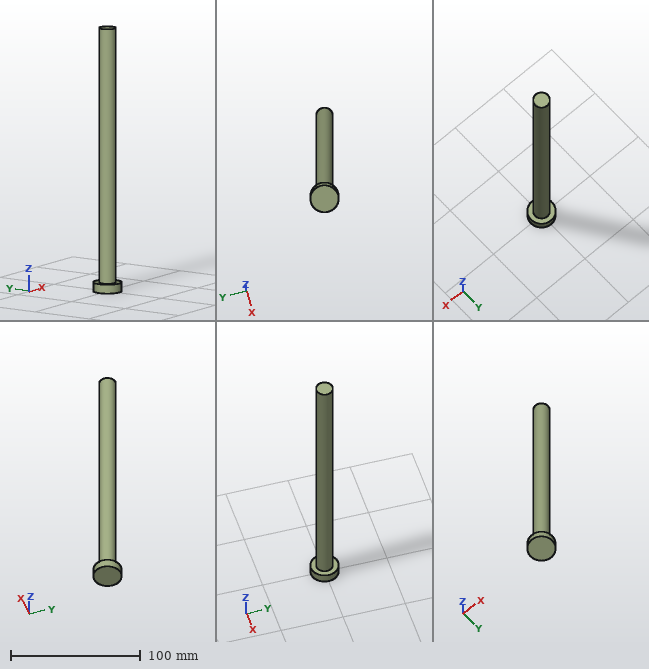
import cadquery as cq

total_length = 207.0
head_diameter = 22.0
head_height = 7.0
shaft_diameter = 13.0
shaft_length = total_length - head_height

head = (
    cq.Workplane("XY")
    .workplane(offset=-total_length / 2)
    .circle(head_diameter / 2)
    .extrude(head_height)
)

result = head.faces(">Z").workplane().circle(shaft_diameter / 2).extrude(shaft_length)